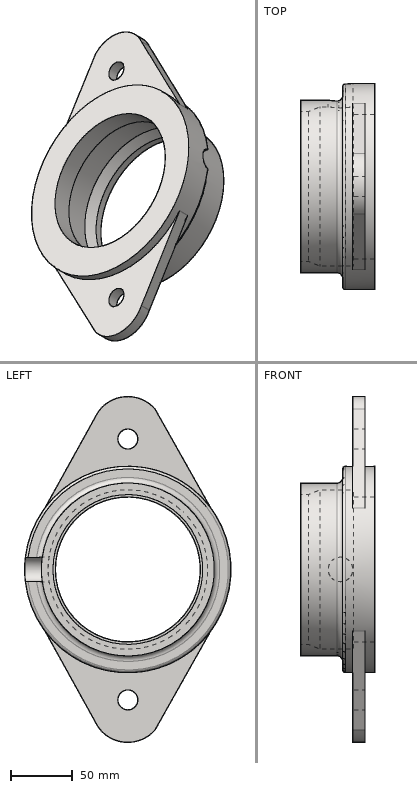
import cadquery as cq
import math

total_length = 60.0
total_height = 280.0

tube_radius = 140.0 / 2
collar_radius = 167.0 / 2
collar_start = 34.0
collar_edge_round = 2.2
collar_fillet = 4.5

mouth_radius = 121.2 / 2
mouth_depth = 6.2
chamber_radius = 129.0 / 2
chamber_start = 15.7
lip_radius = 117.0 / 2
lip_start = 42.5

plate_start = 42.0
plate_thickness = 10.0
tip_radius = 30.2
tip_center_y = -0.5
lug_root_y = 67.2
tip_corner_left_y = 26.5
tip_corner_right_y = 22.0
bolt_hole_diameter = 16.0
bolt_hole_height = 105.5

cross_hole_diameter = 20.0
cross_hole_x = 32.2


def make_body():
    """Solid tube and collar, revolved about X."""
    profile = (
        cq.Workplane("XY")
        .lineTo(0, tube_radius)
        .lineTo(collar_start - collar_fillet, tube_radius)
        .radiusArc((collar_start, tube_radius + collar_fillet), -collar_fillet)
        .lineTo(collar_start, collar_radius - collar_edge_round)
        .radiusArc((collar_start + collar_edge_round, collar_radius), collar_edge_round)
        .lineTo(total_length, collar_radius)
        .lineTo(total_length, 0)
        .close()
    )
    return profile.revolve(360, (0, 0, 0), (1, 0, 0))


def make_bore():
    """Mouth, tapered step to the wider chamber, and narrow rear lip."""
    profile = (
        cq.Workplane("XY")
        .lineTo(0, mouth_radius)
        .lineTo(mouth_depth, mouth_radius)
        .lineTo(chamber_start, chamber_radius)
        .lineTo(lip_start, chamber_radius)
        .lineTo(lip_start, lip_radius)
        .lineTo(total_length, lip_radius)
        .lineTo(total_length, 0)
        .close()
    )
    return profile.revolve(360, (0, 0, 0), (1, 0, 0))


def tip_height(y):
    """Height of the rounded lug tip at a sideways position y."""
    tip_center_height = total_height / 2 - tip_radius
    return tip_center_height + math.sqrt(tip_radius**2 - (y - tip_center_y) ** 2)


def make_upper_lug():
    """Upper lug with its bolt hole; its tip corners are unequal."""
    root_height = math.sqrt(collar_radius**2 - lug_root_y**2)
    outline = (
        cq.Workplane("YZ", origin=(plate_start, 0, 0))
        .lineTo(lug_root_y, root_height)
        .lineTo(tip_corner_left_y, tip_height(tip_corner_left_y))
        .threePointArc(
            (tip_center_y, total_height / 2),
            (-tip_corner_right_y, tip_height(tip_corner_right_y)),
        )
        .lineTo(-lug_root_y, root_height)
        .close()
    )
    bolt_hole = (
        cq.Workplane("YZ", origin=(plate_start, 0, bolt_hole_height))
        .circle(bolt_hole_diameter / 2)
        .extrude(plate_thickness)
    )
    return outline.extrude(plate_thickness).cut(bolt_hole)


def make_cross_hole():
    """Radial cylinder from the axis out through the +Y wall."""
    return (
        cq.Workplane("XZ", origin=(cross_hole_x, 0, 0))
        .circle(cross_hole_diameter / 2)
        .extrude(-total_height / 2)
    )


upper_lug = make_upper_lug()
lower_lug = upper_lug.mirror("XY")
result = make_body().union(upper_lug).union(lower_lug)
result = result.cut(make_bore()).cut(make_cross_hole())